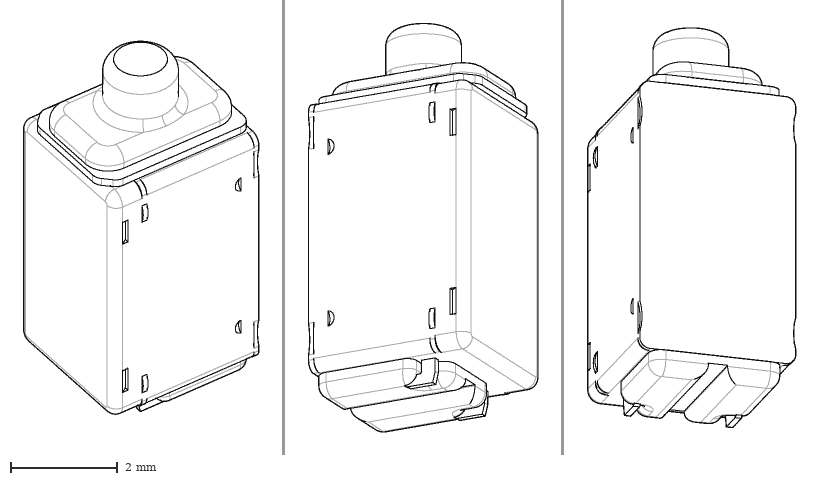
import cadquery as cq
import math


CASE_WIDTH = 3.07
CASE_HEIGHT = 5.32
CASE_BACK = 1.63
CASE_FRONT = -1.695
FRONT_EDGE_RADIUS = 0.21
FRONT_BAND_RADIUS = 0.26
MAIN_BAND_RADIUS = 0.22
SNAP_BAND_RADIUS = 0.2
SNAP_BAND_WIDTH = 0.11
FRONT_BAND_END = -1.04

RIB_CENTERS = (0.61, 4.69)
RIB_LENGTH = 0.39
RIB_HEIGHT = 0.045
GROOVE_CENTERS = (0.62, 4.7)
GROOVE_LENGTH = 0.63
GROOVE_DEPTH = 0.045
WEDGE_CENTERS = (0.88, 4.43)
WEDGE_LENGTH = 0.52
WEDGE_DEPTH = 0.09
WEDGE_DEEP_END = -1.36
WEDGE_SHALLOW_END = -1.49
DIMPLE_CENTERS = (0.96, 4.365)
DIMPLE_RADIUS = 0.155
DIMPLE_DEPTH = 0.075
DIMPLE_CENTER_Y = 1.24
DIMPLE_WALL_Y = 1.21

PLATE_WIDTH = 2.54
PLATE_THICKNESS = 0.16
PLATE_BACK = 1.64
PLATE_BACK_RADIUS = 0.245
PLATE_FRONT_CHAMFER = 0.3
PLATE_BLEND_RADIUS = 0.25
CAP_WIDTH = 2.05
CAP_LENGTH = 3.23
CAP_HEIGHT = 0.39
CAP_CORNER_RADIUS = 0.52
CAP_EDGE_RADIUS = 0.27
PLUNGER_RADIUS = 0.71
PLUNGER_RIM_Z = 6.92
PLUNGER_DOME_RADIUS = 0.29
FLARE_RADIUS = 0.18
BORE_RADIUS = 0.5

BASE_DEPTH = 0.445
BASE_EDGE_RADIUS = 0.25
BASE_CORNER_RADIUS = 0.26
BASE_SHOULDER_RADIUS = 0.185
NOSE_ROOT_RADIUS = 0.07
BASE_WIDTH = 2.575
BASE_BACK = 1.64
BASE_FRONT = -0.42
NOSE_WIDTH = 1.7
NOSE_FRONT = -0.985
NOTCH_WIDTH = 0.38
NOTCH_DEPTH = 0.275
PIN_OUTER_X = 1.065
PIN_THICKNESS = 0.125
PIN_BOTTOM = -0.48
PIN_FRONT = -0.8
PIN_LEG_BACK = -0.51
PIN_ELBOW_Z = -0.27
PIN_ELBOW_RADIUS = 0.045
PIN_FOOT_BACK = -0.15
PIN_TIP_BEVEL = 0.07
PIN_TOE_TAPER = 0.05

OVERLAP = 0.075
CASE_SIDE = CASE_WIDTH / 2
PLATE_TOP = CASE_HEIGHT + PLATE_THICKNESS
CAP_TOP = PLATE_TOP + CAP_HEIGHT


def box(x_min, x_max, y_min, y_max, z_min, z_max):
    size = (x_max - x_min, y_max - y_min, z_max - z_min)
    return cq.Workplane("XY").box(*size, centered=False).translate((x_min, y_min, z_min))


def on_both_sides(shape):
    return shape.union(shape.mirror("YZ"))


def case_band(y_front, y_back, edge_radius):
    """Length of the case whose four edges along Y share one radius."""
    band = box(-CASE_SIDE, CASE_SIDE, y_front, y_back, 0, CASE_HEIGHT)
    return band.edges("|Y").fillet(edge_radius)


def case():
    main_start = FRONT_BAND_END + SNAP_BAND_WIDTH
    main_end = CASE_BACK - SNAP_BAND_WIDTH
    body = case_band(CASE_FRONT, FRONT_BAND_END, FRONT_BAND_RADIUS)
    body = body.faces("<Y").edges().fillet(FRONT_EDGE_RADIUS)
    body = body.union(case_band(FRONT_BAND_END, main_start, SNAP_BAND_RADIUS))
    body = body.union(case_band(main_start, main_end, MAIN_BAND_RADIUS))
    return body.union(case_band(main_end, CASE_BACK, SNAP_BAND_RADIUS))


def arc_segment(z_center, length, rise, y_front):
    """Bar of one snap band's width with a circular-segment section, bulging to -X from the -X side."""
    profile = (
        cq.Workplane("XZ", origin=(-CASE_SIDE, y_front, z_center))
        .moveTo(OVERLAP, -length / 2)
        .lineTo(0, -length / 2)
        .threePointArc((-rise, 0), (0, length / 2))
        .lineTo(OVERLAP, length / 2)
        .close()
    )
    return profile.extrude(-SNAP_BAND_WIDTH)


def snap_rib(z_center):
    return on_both_sides(arc_segment(z_center, RIB_LENGTH, RIB_HEIGHT, FRONT_BAND_END))


def snap_groove(z_center):
    segment = arc_segment(z_center, GROOVE_LENGTH, GROOVE_DEPTH, CASE_BACK - SNAP_BAND_WIDTH)
    inward = segment.mirror("YZ", (-CASE_SIDE, 0, 0))
    return on_both_sides(inward)


def wedge_slot(z_center):
    """Slot with a ramped floor, deepest at the end nearer the back."""
    profile = (
        cq.Workplane("XY", origin=(-CASE_SIDE, 0, z_center - WEDGE_LENGTH / 2))
        .moveTo(0, WEDGE_SHALLOW_END)
        .lineTo(WEDGE_DEPTH, WEDGE_DEEP_END)
        .lineTo(0, WEDGE_DEEP_END)
        .close()
    )
    return on_both_sides(profile.extrude(WEDGE_LENGTH))


def dimple(z_center):
    """Spherical dent cut off by a flat wall toward the back."""
    ball_radius = (DIMPLE_RADIUS**2 + DIMPLE_DEPTH**2) / (2 * DIMPLE_DEPTH)
    ball_x = DIMPLE_DEPTH - ball_radius - CASE_SIDE
    ball = cq.Workplane("XY").sphere(ball_radius).translate((ball_x, DIMPLE_CENTER_Y, z_center))
    beyond_wall = box(
        ball_x - ball_radius, ball_x + ball_radius,
        DIMPLE_WALL_Y, DIMPLE_CENTER_Y + ball_radius,
        z_center - ball_radius, z_center + ball_radius,
    )
    return on_both_sides(ball.cut(beyond_wall))


def plate():
    half_width = PLATE_WIDTH / 2
    body = box(-half_width, half_width, CASE_FRONT, PLATE_BACK, CASE_HEIGHT, PLATE_TOP)
    body = body.edges("|Z and >Y").fillet(PLATE_BACK_RADIUS)
    body = body.edges("|Z and <Y").chamfer(PLATE_FRONT_CHAMFER)
    corner_zone = cq.selectors.BoxSelector(
        (-CASE_WIDTH, CASE_FRONT - OVERLAP, 0),
        (CASE_WIDTH, CASE_FRONT + PLATE_FRONT_CHAMFER + OVERLAP, PLATE_TOP + OVERLAP),
    )
    return body.edges("|Z").edges(corner_zone).fillet(PLATE_BLEND_RADIUS)


def cap_with_plunger():
    cap = cq.Workplane("XY", origin=(0, 0, PLATE_TOP)).rect(CAP_WIDTH, CAP_LENGTH).extrude(CAP_HEIGHT)
    cap = cap.edges("|Z").fillet(CAP_CORNER_RADIUS).faces(">Z").edges().fillet(CAP_EDGE_RADIUS)

    crown_width = PLUNGER_DOME_RADIUS - (PLUNGER_RADIUS - BORE_RADIUS)
    crown_loss = PLUNGER_DOME_RADIUS - math.sqrt(PLUNGER_DOME_RADIUS**2 - crown_width**2)
    dome_top = PLUNGER_RIM_Z + crown_loss
    plunger = cq.Workplane("XY", origin=(0, 0, PLATE_TOP)).circle(PLUNGER_RADIUS)
    plunger = plunger.extrude(dome_top - PLATE_TOP).faces(">Z").edges().fillet(PLUNGER_DOME_RADIUS)

    root_reach = PLUNGER_RADIUS + OVERLAP
    plunger_root = cq.selectors.BoxSelector(
        (-root_reach, -root_reach, CAP_TOP - OVERLAP),
        (root_reach, root_reach, CAP_TOP + OVERLAP),
        boundingbox=True,
    )
    flared = cap.union(plunger).edges(plunger_root).fillet(FLARE_RADIUS)
    bore = cq.Workplane("XY", origin=(0, 0, CAP_TOP)).circle(BORE_RADIUS).extrude(dome_top - CAP_TOP)
    return flared.cut(bore)


def rounded_base():
    """Base and nose as one block, rounded at every upright edge and along the bottom."""
    wide = box(-BASE_WIDTH / 2, BASE_WIDTH / 2, BASE_FRONT, BASE_BACK, -BASE_DEPTH, 0)
    nose = box(-NOSE_WIDTH / 2, NOSE_WIDTH / 2, NOSE_FRONT, BASE_BACK, -BASE_DEPTH, 0)
    wide = wide.edges("|Z and >Y").fillet(BASE_CORNER_RADIUS)
    wide = wide.edges("|Z and <Y").fillet(BASE_SHOULDER_RADIUS)
    nose = nose.edges("|Z and <Y").fillet(BASE_CORNER_RADIUS)
    block = wide.union(nose)
    inner_corners = cq.selectors.BoxSelector(
        (-NOSE_WIDTH / 2 - OVERLAP, BASE_FRONT - OVERLAP, -BASE_DEPTH),
        (NOSE_WIDTH / 2 + OVERLAP, BASE_FRONT + OVERLAP, 0),
    )
    block = block.edges("|Z").edges(inner_corners).fillet(NOSE_ROOT_RADIUS)
    return block.faces("<Z").edges().fillet(BASE_EDGE_RADIUS)


def base():
    """Base with a narrower nose, split into two feet by a notch with rounded lips."""
    half_notch = NOTCH_WIDTH / 2
    lip_start = BASE_EDGE_RADIUS - BASE_DEPTH
    lip_end = half_notch + BASE_EDGE_RADIUS
    lip_x = lip_end - BASE_EDGE_RADIUS * math.sqrt(0.5)
    lip_z = lip_start - BASE_EDGE_RADIUS * math.sqrt(0.5)
    notch = (
        cq.Workplane("XZ", origin=(0, BASE_BACK, 0))
        .moveTo(-half_notch, NOTCH_DEPTH - BASE_DEPTH)
        .lineTo(half_notch, NOTCH_DEPTH - BASE_DEPTH)
        .lineTo(half_notch, lip_start)
        .threePointArc((lip_x, lip_z), (lip_end, -BASE_DEPTH))
        .lineTo(-lip_end, -BASE_DEPTH)
        .threePointArc((-lip_x, lip_z), (-half_notch, lip_start))
        .close()
        .extrude(BASE_BACK - NOSE_FRONT)
    )
    return rounded_base().cut(notch)


def pins():
    """Flat terminals with a leg down from the case and a foot bent back under the base."""
    profile = (
        cq.Workplane("YZ", origin=(-PIN_OUTER_X, 0, 0))
        .moveTo(PIN_FRONT, OVERLAP)
        .lineTo(PIN_FRONT, PIN_ELBOW_Z)
        .lineTo(PIN_FRONT + PIN_TOE_TAPER, PIN_BOTTOM)
        .lineTo(PIN_FOOT_BACK - PIN_TIP_BEVEL, PIN_BOTTOM)
        .lineTo(PIN_FOOT_BACK, -BASE_DEPTH)
        .lineTo(PIN_FOOT_BACK, PIN_ELBOW_Z)
        .lineTo(PIN_LEG_BACK + PIN_ELBOW_RADIUS, PIN_ELBOW_Z)
        .radiusArc((PIN_LEG_BACK, PIN_ELBOW_Z + PIN_ELBOW_RADIUS), PIN_ELBOW_RADIUS)
        .lineTo(PIN_LEG_BACK, OVERLAP)
        .close()
    )
    return on_both_sides(profile.extrude(PIN_THICKNESS))


body = case()
for center in RIB_CENTERS:
    body = body.union(snap_rib(center))
for center in GROOVE_CENTERS:
    body = body.cut(snap_groove(center))
for center in WEDGE_CENTERS:
    body = body.cut(wedge_slot(center))
for center in DIMPLE_CENTERS:
    body = body.cut(dimple(center))

result = body.union(plate()).union(cap_with_plunger()).union(base()).union(pins())